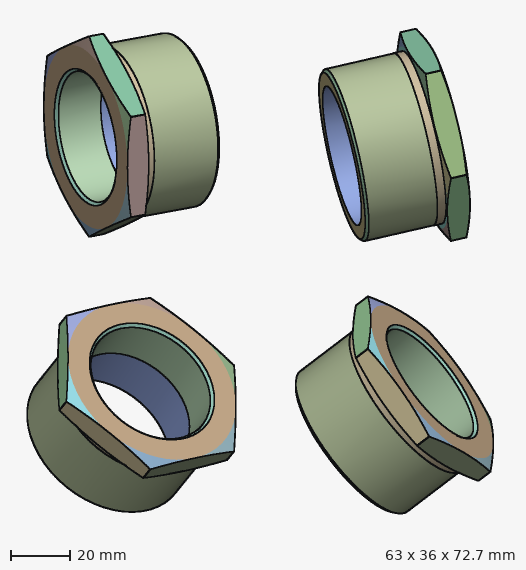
import cadquery as cq
import math

ACROSS_FLATS = 63.0
CORNER_DIAMETER = 72.65
HEAD_HEIGHT = 8.0
HEAD_CHAMFER_ANGLE = 15.0

COLLAR_DIAMETER = 59.81
COLLAR_LENGTH = 3.0
THREAD_DIAMETER = 59.61
TOTAL_LENGTH = 36.0
THREAD_CHAMFER = 1.0

BORE_DIAMETER = 44.845
BORE_CHAMFER = 1.03
BORE_LENGTH = 17.0
RELIEF_DIAMETER = 48.2


def revolve_about_y(points):
    """Solid of revolution about Y from (radius, y) profile points."""
    return cq.Workplane("XY").polyline(points).close().revolve(360, (0, 0, 0), (0, 1, 0))


def make_head():
    """Hexagon with corners on Z, trimmed by a round blank with conical ends."""
    flat_radius = ACROSS_FLATS / 2
    corner_radius = CORNER_DIAMETER / 2
    cone_height = (corner_radius - flat_radius) * math.tan(math.radians(HEAD_CHAMFER_ANGLE))
    sharp_corner_diameter = ACROSS_FLATS / math.cos(math.pi / 6)
    hexagon = (
        cq.Workplane("XY")
        .polygon(6, sharp_corner_diameter)
        .extrude(HEAD_HEIGHT)
        .rotate((0, 0, 0), (0, 0, 1), 90)
        .rotate((0, 0, 0), (1, 0, 0), -90)
    )
    blank = revolve_about_y([
        (0, 0),
        (flat_radius, 0),
        (corner_radius, cone_height),
        (corner_radius, HEAD_HEIGHT - cone_height),
        (flat_radius, HEAD_HEIGHT),
        (0, HEAD_HEIGHT),
    ])
    return hexagon.intersect(blank)


def make_shank():
    """Collar and male thread envelope with a chamfered free end."""
    collar_end = HEAD_HEIGHT + COLLAR_LENGTH
    collar_radius = COLLAR_DIAMETER / 2
    thread_radius = THREAD_DIAMETER / 2
    return revolve_about_y([
        (0, 0),
        (collar_radius, 0),
        (collar_radius, collar_end),
        (thread_radius, collar_end),
        (thread_radius, TOTAL_LENGTH - THREAD_CHAMFER),
        (thread_radius - THREAD_CHAMFER, TOTAL_LENGTH),
        (0, TOTAL_LENGTH),
    ])


def make_through_hole():
    """Chamfered bore that opens into the wider relief."""
    bore_radius = BORE_DIAMETER / 2
    relief_radius = RELIEF_DIAMETER / 2
    return revolve_about_y([
        (0, 0),
        (bore_radius + BORE_CHAMFER, 0),
        (bore_radius, BORE_CHAMFER),
        (bore_radius, BORE_LENGTH),
        (relief_radius, BORE_LENGTH),
        (relief_radius, TOTAL_LENGTH),
        (0, TOTAL_LENGTH),
    ])


result = make_head().union(make_shank()).cut(make_through_hole())